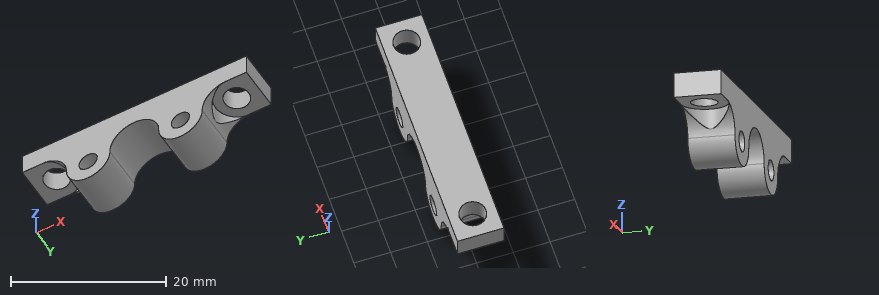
import cadquery as cq

LENGTH = 33.53
WIDTH = 6.35
HEIGHT = 10.18

LUG_RADIUS = 3.25
COVE_RADIUS = 3.65
PIN_HOLE_DIAMETER = 2.7

SCREW_HOLE_DIAMETER = 3.55
SCREW_HOLE_PITCH = 26.93
SCREW_HEAD_DIAMETER = WIDTH

HALF_LENGTH = LENGTH / 2
PLATE_BOTTOM_Z = -(HEIGHT - LUG_RADIUS - COVE_RADIUS)
LUG_CENTER_Z = PLATE_BOTTOM_Z - COVE_RADIUS
LUG_CENTER_X = LUG_RADIUS + COVE_RADIUS
LUG_OUTER_X = LUG_CENTER_X + LUG_RADIUS
COVE_START_X = LUG_OUTER_X + COVE_RADIUS


def make_body():
    """Plate with two round lugs, blended by quarter coves and one central half-round cove."""
    outline = (
        cq.Workplane("XZ")
        .moveTo(-HALF_LENGTH, 0)
        .lineTo(-HALF_LENGTH, PLATE_BOTTOM_Z)
        .lineTo(-COVE_START_X, PLATE_BOTTOM_Z)
        .radiusArc((-LUG_OUTER_X, LUG_CENTER_Z), COVE_RADIUS)
        .threePointArc((-LUG_CENTER_X, -HEIGHT), (-COVE_RADIUS, LUG_CENTER_Z))
        .threePointArc((0, PLATE_BOTTOM_Z), (COVE_RADIUS, LUG_CENTER_Z))
        .threePointArc((LUG_CENTER_X, -HEIGHT), (LUG_OUTER_X, LUG_CENTER_Z))
        .radiusArc((COVE_START_X, PLATE_BOTTOM_Z), COVE_RADIUS)
        .lineTo(HALF_LENGTH, PLATE_BOTTOM_Z)
        .lineTo(HALF_LENGTH, 0)
        .close()
    )
    return outline.extrude(WIDTH / 2, both=True)


def make_pin_hole(x):
    """Hole along Y through one lug."""
    return (
        cq.Workplane("XZ")
        .center(x, LUG_CENTER_Z)
        .circle(PIN_HOLE_DIAMETER / 2)
        .extrude(WIDTH / 2, both=True)
    )


def make_screw_cut(x):
    """Vertical screw hole with a wider head clearance below the plate."""
    hole = cq.Workplane("XY").center(x, 0).circle(SCREW_HOLE_DIAMETER / 2).extrude(-HEIGHT)
    head_clearance = (
        cq.Workplane("XY", origin=(x, 0, PLATE_BOTTOM_Z))
        .circle(SCREW_HEAD_DIAMETER / 2)
        .extrude(LUG_CENTER_Z - PLATE_BOTTOM_Z)
    )
    return hole.union(head_clearance)


result = make_body()
for side in (-1, 1):
    result = result.cut(make_pin_hole(side * LUG_CENTER_X))
    result = result.cut(make_screw_cut(side * SCREW_HOLE_PITCH / 2))